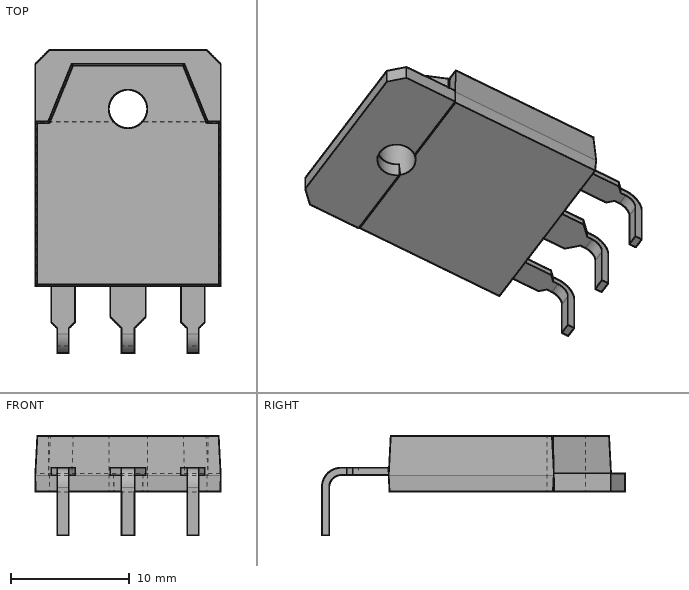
import cadquery as cq
import math

WIDTH = 15.6
HEIGHT = 4.7
PARTING_Z = 1.38
DRAFT_ANGLE = 3.0
SHOULDER_Y = 13.9
NECK_END_Y = 18.72
NECK_BASE_WIDTH = 13.41
NECK_END_WIDTH = 9.49

TAB_END_Y = 19.9
TAB_THICKNESS = 1.53
TAB_CHAMFER = 1.2

HOLE_DIAMETER = 3.21
HOLE_Y = 14.92

LEAD_THICKNESS = 0.65
LEAD_TIP_Y = TAB_END_Y - 25.5
LEAD_TIP_Z = HEIGHT - 8.36
LEAD_BEND_RADIUS = 1.0
LEAD_PITCH = 5.45
LEAD_NECK_Y = -3.52
SIDE_LEAD_WIDE = 2.01
SIDE_LEAD_NARROW = 1.0
CENTER_LEAD_WIDE = 3.0
CENTER_LEAD_NARROW = 1.1


def make_mounting_hole():
    """Cylinder that cuts the mounting hole through the whole height."""
    return cq.Workplane("XY").center(0, HOLE_Y).circle(HOLE_DIAMETER / 2).extrude(HEIGHT)


def make_tab():
    """Plate behind the shoulder with chamfered rear corners."""
    length = TAB_END_Y - SHOULDER_Y
    plate = (
        cq.Workplane("XY")
        .center(0, SHOULDER_Y + length / 2)
        .rect(WIDTH, length)
        .extrude(TAB_THICKNESS)
    )
    return plate.edges("|Z and >Y").chamfer(TAB_CHAMFER).cut(make_mounting_hole())


def make_housing_blank():
    """Moulded block drafted inward above and below the parting plane."""
    half_width = WIDTH / 2
    upper_outline = [
        (-half_width, 0),
        (half_width, 0),
        (half_width, SHOULDER_Y),
        (NECK_BASE_WIDTH / 2, SHOULDER_Y),
        (NECK_END_WIDTH / 2, NECK_END_Y),
        (-NECK_END_WIDTH / 2, NECK_END_Y),
        (-NECK_BASE_WIDTH / 2, SHOULDER_Y),
        (-half_width, SHOULDER_Y),
    ]
    parting_plane = cq.Workplane("XY").workplane(offset=PARTING_Z)
    upper = parting_plane.polyline(upper_outline).close().extrude(
        HEIGHT - PARTING_Z, taper=DRAFT_ANGLE
    )
    lower = (
        parting_plane.center(0, SHOULDER_Y / 2)
        .rect(WIDTH, SHOULDER_Y)
        .extrude(-PARTING_Z, taper=DRAFT_ANGLE)
    )
    return upper.union(lower)


def make_lead(x, wide, narrow):
    """Flat lead from the housing front edge that narrows at 45 degrees and bends down."""
    top_z = PARTING_Z + LEAD_THICKNESS
    outer_radius = LEAD_BEND_RADIUS + LEAD_THICKNESS
    bend_y = LEAD_TIP_Y + outer_radius
    bend_z = top_z - outer_radius
    diagonal = math.sqrt(0.5)
    outer_mid = (bend_y - outer_radius * diagonal, bend_z + outer_radius * diagonal)
    inner_mid = (bend_y - LEAD_BEND_RADIUS * diagonal, bend_z + LEAD_BEND_RADIUS * diagonal)
    inner_y = LEAD_TIP_Y + LEAD_THICKNESS

    bent_strip = (
        cq.Workplane("YZ")
        .workplane(offset=x)
        .moveTo(0, top_z)
        .lineTo(bend_y, top_z)
        .threePointArc(outer_mid, (LEAD_TIP_Y, bend_z))
        .lineTo(LEAD_TIP_Y, LEAD_TIP_Z)
        .lineTo(inner_y, LEAD_TIP_Z)
        .lineTo(inner_y, bend_z)
        .threePointArc(inner_mid, (bend_y, PARTING_Z))
        .lineTo(0, PARTING_Z)
        .close()
        .extrude(wide / 2, both=True)
    )

    taper_start_y = LEAD_NECK_Y + (wide - narrow) / 2
    plan_outline = [
        (x - wide / 2, 0),
        (x - wide / 2, taper_start_y),
        (x - narrow / 2, LEAD_NECK_Y),
        (x - narrow / 2, LEAD_TIP_Y),
        (x + narrow / 2, LEAD_TIP_Y),
        (x + narrow / 2, LEAD_NECK_Y),
        (x + wide / 2, taper_start_y),
        (x + wide / 2, 0),
    ]
    plan = (
        cq.Workplane("XY")
        .workplane(offset=LEAD_TIP_Z)
        .polyline(plan_outline)
        .close()
        .extrude(top_z - LEAD_TIP_Z)
    )
    return bent_strip.intersect(plan)


def make_housing(tab):
    """Housing with the mounting hole and a matching seat for the tab."""
    return make_housing_blank().cut(make_mounting_hole()).cut(tab)


tab = make_tab()
side_leads = [
    make_lead(side * LEAD_PITCH, SIDE_LEAD_WIDE, SIDE_LEAD_NARROW) for side in (-1, 1)
]
center_lead = make_lead(0, CENTER_LEAD_WIDE, CENTER_LEAD_NARROW)
leads = [*side_leads, center_lead]
housing = make_housing(tab)

bodies = [housing, tab, *leads]
result = cq.Compound.makeCompound([body.solids().val() for body in bodies])